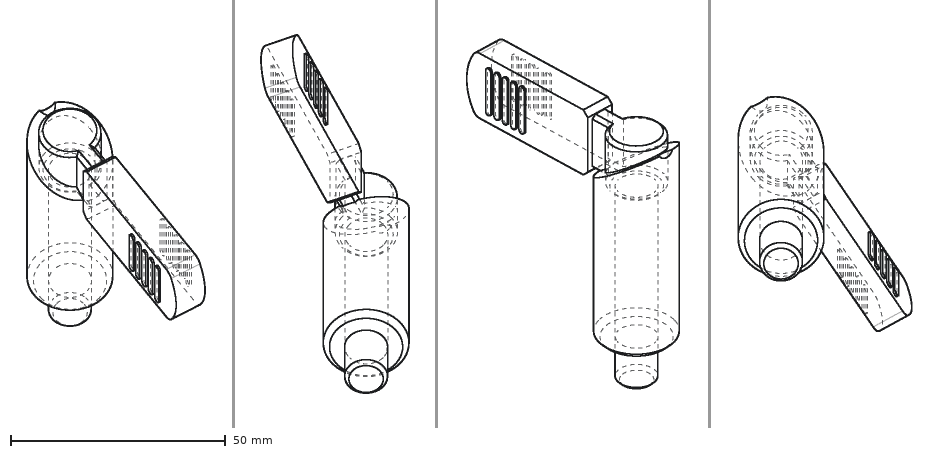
import cadquery as cq
import math

total_height = 70.5
reach = 51.95

sleeve_radius = 10.0
sleeve_bottom = 12.0
sleeve_chamfer = 1.5
cam_mid_height = 61.0
cam_slope = math.radians(33.2)
detent_radius = 2.55
detent_bottom = 66.2

grip_start = 12.0
grip_height = 18.05
grip_thickness = 8.05
grip_chamfer = 1.5
grip_end_radius = 15.0
grip_corner_radius = 2.5
grip_mid_height = total_height - grip_height / 2

pin_radius = 5.0
edge_chamfer = 1.0
head_radius = 7.25
arm_thickness = 5.0
head_bottom = 53.85
head_top = 68.9

rib_count = 5
rib_pitch = 2.75
rib_width = 1.7
rib_length = 13.05
rib_height = 0.5
rib_middle = 38.85


def make_plunger():
    """Pin with a round head and the arm that carries the grip."""
    head_height = head_top - head_bottom
    head = cq.Workplane("XY").workplane(offset=head_bottom).circle(head_radius).extrude(head_height)
    uncut_reach = grip_start + 2 * edge_chamfer
    arm = (
        cq.Workplane("XY")
        .workplane(offset=head_bottom)
        .center(uncut_reach / 2, 0)
        .rect(uncut_reach, arm_thickness)
        .extrude(head_height)
    )
    surplus = (
        cq.Workplane("YZ")
        .workplane(offset=grip_start)
        .center(0, head_bottom + head_height / 2)
        .rect(arm_thickness, head_height)
        .extrude(uncut_reach - grip_start)
    )
    lever = head.union(arm).faces("<Z or >Z").chamfer(edge_chamfer).cut(surplus)
    pin = cq.Workplane("XY").circle(pin_radius).extrude(head_top - edge_chamfer)
    return lever.union(pin.faces("<Z").chamfer(edge_chamfer))


def make_sleeve(plunger):
    """Round sleeve with a sloping cam face, a detent groove and a seat for the plunger."""
    rise = sleeve_radius * math.tan(cam_slope)
    body = (
        cq.Workplane("XY")
        .workplane(offset=sleeve_bottom)
        .circle(sleeve_radius)
        .extrude(total_height - sleeve_bottom)
        .faces("<Z")
        .chamfer(sleeve_chamfer)
    )
    above_cam = (
        cq.Workplane("XZ")
        .moveTo(-sleeve_radius, cam_mid_height + rise)
        .lineTo(sleeve_radius, cam_mid_height - rise)
        .lineTo(sleeve_radius, total_height)
        .lineTo(-sleeve_radius, total_height)
        .close()
        .extrude(sleeve_radius, both=True)
    )
    detent = (
        cq.Workplane("YZ")
        .center(0, detent_bottom + detent_radius)
        .circle(detent_radius)
        .extrude(-sleeve_radius)
    )
    return body.cut(above_cam).cut(detent).cut(plunger)


def make_grip():
    """Flat grip with a bowed end and rows of finger ribs."""
    half_height = grip_height / 2
    bow = grip_end_radius - math.sqrt(grip_end_radius**2 - half_height**2)
    corner_x = reach - bow
    body = (
        cq.Workplane("XZ")
        .moveTo(grip_start, grip_mid_height - half_height)
        .lineTo(corner_x, grip_mid_height - half_height)
        .threePointArc((reach, grip_mid_height), (corner_x, grip_mid_height + half_height))
        .lineTo(grip_start, grip_mid_height + half_height)
        .close()
        .extrude(grip_thickness / 2, both=True)
    )
    body = body.edges("|Y").edges("<X").chamfer(grip_chamfer)
    body = body.edges("|Y").edges(">X").fillet(grip_corner_radius)
    first_rib = rib_middle - rib_pitch * (rib_count - 1) / 2
    for index in range(rib_count):
        rib = (
            cq.Workplane("XZ")
            .center(first_rib + index * rib_pitch, grip_mid_height)
            .slot2D(rib_length, rib_width, 90)
            .extrude(grip_thickness / 2 + rib_height, both=True)
        )
        body = body.union(rib)
    return body


plunger = make_plunger()
sleeve = make_sleeve(plunger)
grip = make_grip()

result = cq.Compound.makeCompound([sleeve.val(), plunger.val(), grip.val()])